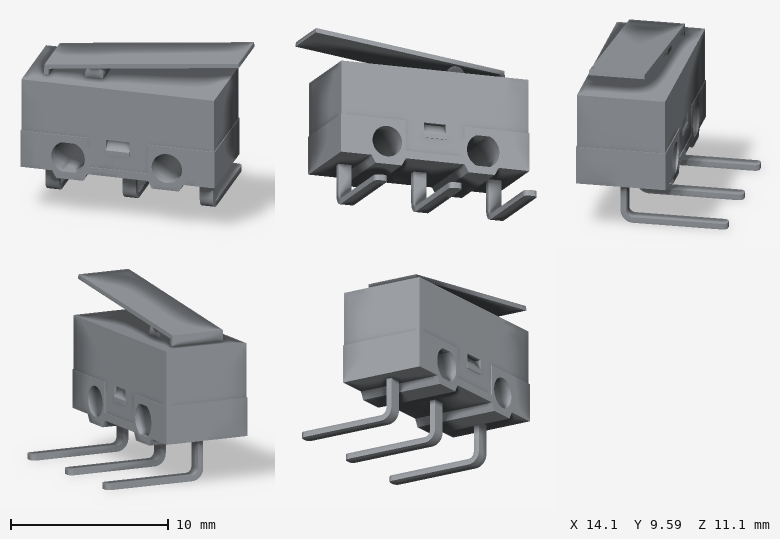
import cadquery as cq
import math


BASE_LENGTH = 12.8
BASE_WIDTH = 5.8
BASE_HEIGHT = 2.5

FOOT_SPACING = 6.31
FOOT_TOP_LENGTH = 2.31
FOOT_BOTTOM_LENGTH = 1.78
FOOT_HEIGHT = 0.5

HOLE_DIAMETER = 2.0
HOLE_SPACING = 6.51
HOLE_Z = HOLE_DIAMETER / 2
WIDE_HOLE_DIAMETER = 2.2

COVER_STEP = 0.05
COVER_LENGTH = BASE_LENGTH - 2 * COVER_STEP
COVER_WIDTH = BASE_WIDTH - 2 * COVER_STEP
COVER_TOP = 6.02

RECESS_LENGTH = 3.99
RECESS_BOTTOM = 0.51
RECESS_DEPTH = 0.5
NUB_LENGTH = 1.52
NUB_BOTTOM = 1.51
NUB_RAMP_START = 1.79

TERMINAL_PITCH = 5.09
TERMINAL_WIDTH = 0.89
TERMINAL_THICKNESS = 0.38
TERMINAL_BOTTOM = -2.75
TERMINAL_END_Y = 6.69
BEND_OUTER_RADIUS = 0.79
BEND_INNER_RADIUS = BEND_OUTER_RADIUS - TERMINAL_THICKNESS
TERMINAL_END_RADIUS = 0.32

PLUNGER_X = -1.96
PLUNGER_DIAMETER = 1.2
PLUNGER_WIDTH = 2.9
PLUNGER_AXIS_Z = COVER_TOP + 0.23

LEVER_X = -5.15
LEVER_TIP_X = 7.7
LEVER_CORNER_Z = COVER_TOP + 0.73
LEVER_TIP_Z = 8.3
LEVER_THICKNESS = 0.3
LEVER_WIDTH = 3.6
LEG_LEAN = math.radians(2)


def centred_prism(outline, width):
    """Extrude a closed XZ outline along Y, centred on Y = 0."""
    return outline.extrude(width / 2, both=True)


def box_between(length, width, bottom, top):
    """Box centred in X and Y, between two heights."""
    return (
        cq.Workplane("XY")
        .workplane(offset=bottom)
        .rect(length, width)
        .extrude(top - bottom)
    )


def make_foot(x):
    """Foot with sloping ends, across the full width of the base."""
    outline = cq.Workplane("XZ").polyline([
        (x - FOOT_TOP_LENGTH / 2, 0),
        (x - FOOT_BOTTOM_LENGTH / 2, -FOOT_HEIGHT),
        (x + FOOT_BOTTOM_LENGTH / 2, -FOOT_HEIGHT),
        (x + FOOT_TOP_LENGTH / 2, 0),
    ]).close()
    return centred_prism(outline, BASE_WIDTH)


def make_round_hole():
    """Round mounting hole on the +X side."""
    outline = cq.Workplane("XZ").center(HOLE_SPACING / 2, HOLE_Z).circle(HOLE_DIAMETER / 2)
    return centred_prism(outline, BASE_WIDTH)


def make_wide_hole():
    """Mounting hole on the -X side: a larger circle cut flat to the round hole's height."""
    centre = cq.Workplane("XZ").center(-HOLE_SPACING / 2, HOLE_Z)
    cylinder = centred_prism(centre.circle(WIDE_HOLE_DIAMETER / 2), BASE_WIDTH)
    slab = centred_prism(centre.rect(WIDE_HOLE_DIAMETER, HOLE_DIAMETER), BASE_WIDTH)
    return cylinder.intersect(slab)


def make_recess(side):
    """Space that a tongue takes in the base wall; side is -1 or +1 along Y."""
    inner_y = BASE_WIDTH / 2 - RECESS_DEPTH
    return cq.Workplane("XY").box(
        RECESS_LENGTH, RECESS_DEPTH, BASE_HEIGHT - RECESS_BOTTOM, centered=(True, True, False)
    ).translate((0, side * (inner_y + RECESS_DEPTH / 2), RECESS_BOTTOM))


def make_nub(side):
    """Ramped catch standing on the recess floor, flush with the base wall."""
    outer_y = side * BASE_WIDTH / 2
    inner_y = side * (BASE_WIDTH / 2 - RECESS_DEPTH)
    return (
        cq.Workplane("YZ")
        .polyline([
            (inner_y, NUB_BOTTOM),
            (outer_y, NUB_BOTTOM),
            (outer_y, NUB_RAMP_START),
            (inner_y, BASE_HEIGHT),
        ])
        .close()
        .extrude(NUB_LENGTH / 2, both=True)
    )


def make_terminal(x):
    """Flat strip going down from the base and bent towards +Y, with a rounded end."""
    front_y = -TERMINAL_THICKNESS / 2
    back_y = TERMINAL_THICKNESS / 2
    strip = (
        cq.Workplane("YZ")
        .moveTo(front_y, 0)
        .lineTo(front_y, TERMINAL_BOTTOM + BEND_OUTER_RADIUS)
        .radiusArc((front_y + BEND_OUTER_RADIUS, TERMINAL_BOTTOM), -BEND_OUTER_RADIUS)
        .lineTo(TERMINAL_END_Y, TERMINAL_BOTTOM)
        .lineTo(TERMINAL_END_Y, TERMINAL_BOTTOM + TERMINAL_THICKNESS)
        .lineTo(back_y + BEND_INNER_RADIUS, TERMINAL_BOTTOM + TERMINAL_THICKNESS)
        .radiusArc((back_y, TERMINAL_BOTTOM + BEND_OUTER_RADIUS), BEND_INNER_RADIUS)
        .lineTo(back_y, 0)
        .close()
        .extrude(TERMINAL_WIDTH / 2, both=True)
    )
    return strip.faces(">Y").edges("|Z").fillet(TERMINAL_END_RADIUS).translate((x, 0, 0))


def make_base():
    base = box_between(BASE_LENGTH, BASE_WIDTH, 0, BASE_HEIGHT)
    for x in (-FOOT_SPACING / 2, FOOT_SPACING / 2):
        base = base.union(make_foot(x))
    base = base.cut(make_round_hole()).cut(make_wide_hole())
    for side in (-1, 1):
        base = base.cut(make_recess(side)).union(make_nub(side))
    for x in (-TERMINAL_PITCH, 0, TERMINAL_PITCH):
        base = base.union(make_terminal(x))
    return base


def make_tongue(side):
    """Cover tongue filling the recess up to the cover wall, with a window for the nub."""
    cover_envelope = box_between(COVER_LENGTH, COVER_WIDTH, 0, COVER_TOP)
    window = box_between(NUB_LENGTH, BASE_WIDTH, NUB_BOTTOM, BASE_HEIGHT)
    return make_recess(side).intersect(cover_envelope).cut(window)


def make_plunger():
    """Bar with a round top, standing on the cover."""
    left_x = PLUNGER_X - PLUNGER_DIAMETER / 2
    right_x = PLUNGER_X + PLUNGER_DIAMETER / 2
    outline = (
        cq.Workplane("XZ")
        .moveTo(left_x, COVER_TOP)
        .lineTo(left_x, PLUNGER_AXIS_Z)
        .threePointArc((PLUNGER_X, PLUNGER_AXIS_Z + PLUNGER_DIAMETER / 2), (right_x, PLUNGER_AXIS_Z))
        .lineTo(right_x, COVER_TOP)
        .close()
    )
    return centred_prism(outline, PLUNGER_WIDTH)


def make_lever():
    """Bent strip: a slightly leaning leg stands on the cover and the arm rises towards +X."""
    corner_x = LEVER_X + (LEVER_CORNER_Z - COVER_TOP) * math.tan(LEG_LEAN)
    slope = math.atan2(LEVER_TIP_Z - LEVER_CORNER_Z, LEVER_TIP_X - corner_x)

    leg_step = cq.Vector(math.cos(LEG_LEAN), -math.sin(LEG_LEAN)) * LEVER_THICKNESS
    arm_step = cq.Vector(math.sin(slope), -math.cos(slope)) * LEVER_THICKNESS

    outer_corner = cq.Vector(corner_x, LEVER_CORNER_Z)
    inner_corner = outer_corner + (leg_step + arm_step) / (1 + math.sin(slope + LEG_LEAN))
    tip_bottom = cq.Vector(LEVER_TIP_X, LEVER_TIP_Z + arm_step.y)
    tip_top = tip_bottom - arm_step
    outline = cq.Workplane("XZ").polyline([
        (LEVER_X, COVER_TOP),
        outer_corner,
        tip_top,
        tip_bottom,
        inner_corner,
        (LEVER_X + LEVER_THICKNESS / math.cos(LEG_LEAN), COVER_TOP),
    ]).close()
    return centred_prism(outline, LEVER_WIDTH)


def make_cover():
    cover = box_between(COVER_LENGTH, COVER_WIDTH, BASE_HEIGHT, COVER_TOP)
    for side in (-1, 1):
        cover = cover.union(make_tongue(side))
    return cover.union(make_plunger()).union(make_lever())


base = make_base()
cover = make_cover()

result = cq.Compound.makeCompound([*base.solids().vals(), *cover.solids().vals()])